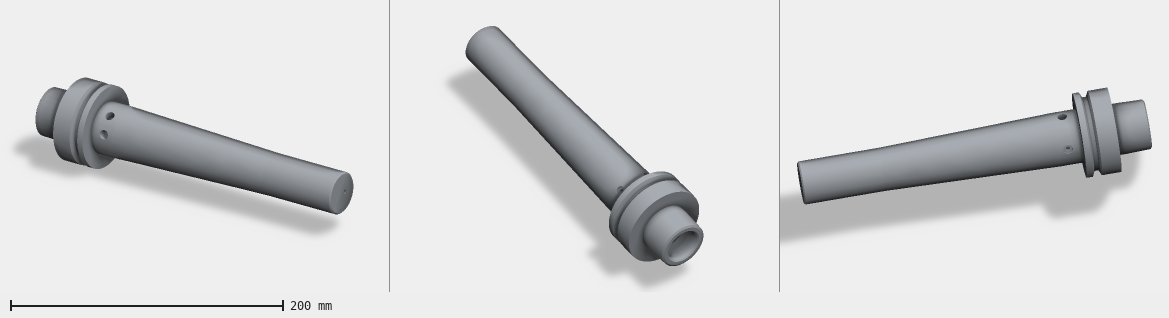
import cadquery as cq

length = 259.0
flange_radius = 63.0 / 2
neck_radius = 40.0 / 2
nose_radius = 32.0 / 2

shank_tip_radius = 37.0 / 2
shank_base_radius = 38.0 / 2
shank_taper_end = 19.0
shank_chamfer_length = 1.0
shank_chamfer_depth = 1.5

flange_start = 25.0
flange_end = 51.0
groove_center = 43.0
groove_half_width = 3.4
groove_floor_half_width = 1.5
groove_radius = 27.5

cone_start = 69.0
cone_end = 199.2
nose_chamfer = 1.0

socket_mouth_radius = 28.0 / 2
socket_radius = 26.0 / 2
socket_floor_radius = 22.5 / 2
socket_mouth_depth = 1.0
socket_straight_end = 9.0
socket_depth = 16.8
pilot_radius = 13.5 / 2
pilot_end = 25.0

passage_diameter = 3.0
passage_offset = 3.5

radial_hole_x = 62.0
radial_hole_radius = 7.0 / 2
radial_hole_depth = 7.3
drill_tip_height = 2.0
open_hole_angles = (12.5, 55.5)
plugged_hole_angle = 133.0
plug_recess = 1.3
plug_socket_radius = 3.0 / 2
plug_socket_depth = 3.0


def make_body():
    """Revolve the outer outline, including the flange groove."""
    outline = (
        cq.Workplane("XY")
        .moveTo(0, 0)
        .lineTo(0, shank_tip_radius - shank_chamfer_depth)
        .lineTo(shank_chamfer_length, shank_tip_radius)
        .lineTo(shank_taper_end, shank_base_radius)
        .lineTo(flange_start, shank_base_radius)
        .lineTo(flange_start, flange_radius)
        .lineTo(groove_center - groove_half_width, flange_radius)
        .lineTo(groove_center - groove_floor_half_width, groove_radius)
        .lineTo(groove_center + groove_floor_half_width, groove_radius)
        .lineTo(groove_center + groove_half_width, flange_radius)
        .lineTo(flange_end, flange_radius)
        .lineTo(flange_end, neck_radius)
        .lineTo(cone_start, neck_radius)
        .lineTo(cone_end, nose_radius)
        .lineTo(length - nose_chamfer, nose_radius)
        .lineTo(length, nose_radius - nose_chamfer)
        .lineTo(length, 0)
        .close()
    )
    return outline.revolve(360, (0, 0, 0), (1, 0, 0))


def make_socket():
    """Chamfered shank socket that narrows to a flat floor with a pilot bore."""
    outline = (
        cq.Workplane("XY")
        .moveTo(0, 0)
        .lineTo(0, socket_mouth_radius)
        .lineTo(socket_mouth_depth, socket_radius)
        .lineTo(socket_straight_end, socket_radius)
        .lineTo(socket_depth, socket_floor_radius)
        .lineTo(socket_depth, pilot_radius)
        .lineTo(pilot_end, pilot_radius)
        .lineTo(pilot_end, 0)
        .close()
    )
    return outline.revolve(360, (0, 0, 0), (1, 0, 0))


def make_passage():
    return (
        cq.Workplane("YZ")
        .center(passage_offset, 0)
        .circle(passage_diameter / 2)
        .extrude(length)
    )


def place_radially(cutter, angle):
    """Turn a cutter built along -Y to its angle around the X axis."""
    return cutter.rotate((0, 0, 0), (1, 0, 0), -angle)


def make_hole_cutter(radius, depth, tip_height):
    """Hole from outside the neck to the given depth, ending in a cone or flat floor."""
    floor = neck_radius - depth
    outline = (
        cq.Workplane("XY")
        .moveTo(radial_hole_x, -flange_radius)
        .lineTo(radial_hole_x + radius, -flange_radius)
        .lineTo(radial_hole_x + radius, -floor)
        .lineTo(radial_hole_x, -floor + tip_height)
        .close()
    )
    return outline.revolve(360, (radial_hole_x, 0, 0), (radial_hole_x, 1, 0))


result = make_body().cut(make_socket()).cut(make_passage())

for hole_angle in open_hole_angles:
    open_hole = make_hole_cutter(radial_hole_radius, radial_hole_depth, drill_tip_height)
    result = result.cut(place_radially(open_hole, hole_angle))

plug_face = make_hole_cutter(radial_hole_radius, plug_recess, 0)
plug_socket = make_hole_cutter(plug_socket_radius, plug_recess + plug_socket_depth, 0)
for plug_cutter in (plug_face, plug_socket):
    result = result.cut(place_radially(plug_cutter, plugged_hole_angle))